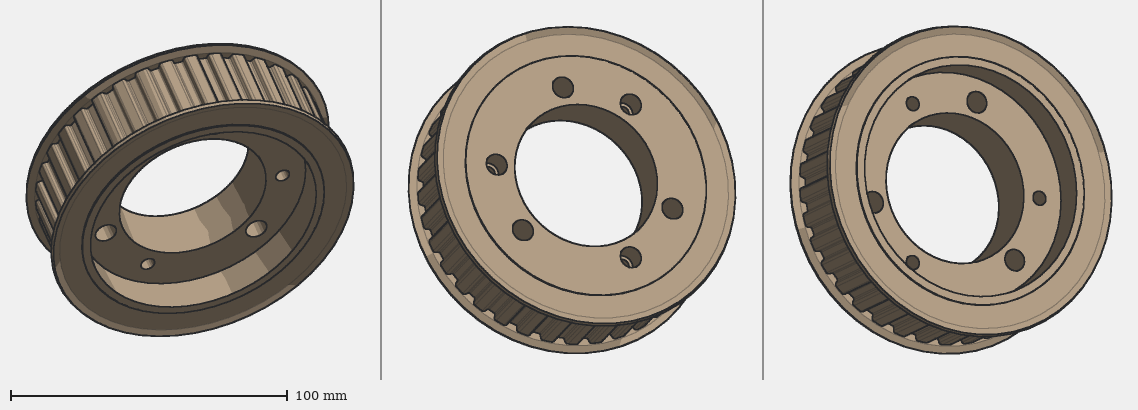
import cadquery as cq
import math

width = 32.1
flange_radius = 57.4
middle_x = width / 2

sheet = 1.5
bend_angle = math.radians(18)
bend_radius = 54.4
seat_radius = 45.9

tooth_count = 36
tip_radius = 54.2
groove_depth = 2.2
groove_floor_width = 3.1
flank_angle = math.radians(20)
tip_round = 1.0
root_round = 0.6

boss_height = 0.6
bore_front_radius = 27.2
bore_taper = math.radians(1.8)
web_thickness = 19.1
recess_radius = 42.8

hole_circle_radius = 34.1
holes_per_ring = 3
hole_diameter = 7.9
pilot_diameter = 5.2
stepped_hole_start = 0.0
plain_hole_start = 75.0
step_depth = web_thickness / 2

rim_end_radius = flange_radius - sheet * math.sin(bend_angle)
flange_face_x = (rim_end_radius - bend_radius) * math.tan(bend_angle)
flange_back_x = flange_face_x + sheet
back_bend_radius = bend_radius + sheet * math.tan(bend_angle / 2)
boss_face_x = flange_face_x - boss_height


def disc(radius, start, end):
    """Solid cylinder about the X axis between two X positions."""
    return cq.Workplane("YZ", origin=(start, 0, 0)).circle(radius).extrude(end - start)


def make_flange():
    """Flange at the -X end, revolved about the X axis."""
    profile = [
        (flange_face_x, seat_radius),
        (flange_face_x, bend_radius),
        (0, rim_end_radius),
        (sheet * math.cos(bend_angle), flange_radius),
        (flange_back_x, back_bend_radius),
        (flange_back_x, seat_radius),
    ]
    return cq.Workplane("XZ").polyline(profile).close().revolve(360, (0, 0, 0), (1, 0, 0))


def half_groove():
    """Points of a groove's +side, as (sideways, outward), from its floor to the tip circle."""
    sin_flank = math.sin(flank_angle)
    cos_flank = math.cos(flank_angle)
    corner_side = groove_floor_width / 2
    corner_out = tip_radius - groove_depth
    root_length = root_round * math.tan((math.pi / 2 - flank_angle) / 2)

    round_orbit = tip_radius - tip_round
    start_side = corner_side + tip_round * cos_flank
    start_out = corner_out - tip_round * sin_flank
    along = start_side * sin_flank + start_out * cos_flank
    across = start_side * cos_flank - start_out * sin_flank
    flank_length = math.sqrt(round_orbit**2 - across**2) - along
    tip_scale = tip_radius / round_orbit

    return [
        (corner_side - root_length, corner_out),
        (corner_side + root_length * sin_flank, corner_out + root_length * cos_flank),
        (corner_side + flank_length * sin_flank, corner_out + flank_length * cos_flank),
        (
            (start_side + flank_length * sin_flank) * tip_scale,
            (start_out + flank_length * cos_flank) * tip_scale,
        ),
    ]


def turned(point, angle):
    """A (sideways, outward) point placed in the YZ plane, outward being +Y at angle 0."""
    side, out = point
    return (
        out * math.cos(angle) - side * math.sin(angle),
        out * math.sin(angle) + side * math.cos(angle),
    )


def make_toothed_rim(start, end):
    """Solid toothed cylinder between two X positions, with a groove pointing along +Y."""
    rising = half_groove()
    falling = [(-side, out) for side, out in reversed(rising)]
    pitch_angle = 2 * math.pi / tooth_count

    outline = cq.Workplane("YZ", origin=(start, 0, 0)).moveTo(*turned(falling[-1], 0))
    for tooth in range(tooth_count):
        angle = tooth * pitch_angle
        floor_end, flank_low, flank_high, tip_start = [turned(p, angle) for p in rising]
        tip_end, next_high, next_low, next_floor = [turned(p, angle + pitch_angle) for p in falling]
        outline = (
            outline.lineTo(*floor_end)
            .tangentArcPoint(flank_low, relative=False)
            .lineTo(*flank_high)
            .tangentArcPoint(tip_start, relative=False)
            .tangentArcPoint(tip_end, relative=False)
            .tangentArcPoint(next_high, relative=False)
            .lineTo(*next_low)
            .tangentArcPoint(next_floor, relative=False)
        )
    return outline.close().extrude(end - start)


def make_bore(start, end):
    """Tapered bore cutter that widens along +X between two X positions."""
    end_radius = bore_front_radius + (end - start) * math.tan(bore_taper)
    profile = [(start, 0), (start, bore_front_radius), (end, end_radius), (end, 0)]
    return cq.Workplane("XZ").polyline(profile).close().revolve(360, (0, 0, 0), (1, 0, 0))


def make_hole_ring(diameter, start_angle, start, end):
    """Cutters for one ring of mounting holes between two X positions."""
    return (
        cq.Workplane("YZ", origin=(start, 0, 0))
        .polarArray(hole_circle_radius, start_angle, 360, holes_per_ring)
        .circle(diameter / 2)
        .extrude(end - start)
    )


def make_pulley():
    """Toothed rim with its seats for the flanges, bored web and mounting holes."""
    back_face_x = width - boss_face_x
    web_back_x = boss_face_x + web_thickness
    pulley = make_toothed_rim(flange_back_x, width - flange_back_x)
    pulley = pulley.union(disc(seat_radius, boss_face_x, back_face_x))
    pulley = pulley.cut(make_bore(boss_face_x, web_back_x))
    pulley = pulley.cut(disc(recess_radius, web_back_x, back_face_x))
    pulley = pulley.cut(make_hole_ring(hole_diameter, plain_hole_start, boss_face_x, web_back_x))
    pulley = pulley.cut(make_hole_ring(pilot_diameter, stepped_hole_start, boss_face_x, web_back_x))
    step_x = boss_face_x + step_depth
    return pulley.cut(make_hole_ring(hole_diameter, stepped_hole_start, boss_face_x, step_x))


front_flange = make_flange()
back_flange = front_flange.mirror("YZ", (middle_x, 0, 0))
pulley = make_pulley()
result = cq.Compound.makeCompound([front_flange.val(), back_flange.val(), pulley.val()])